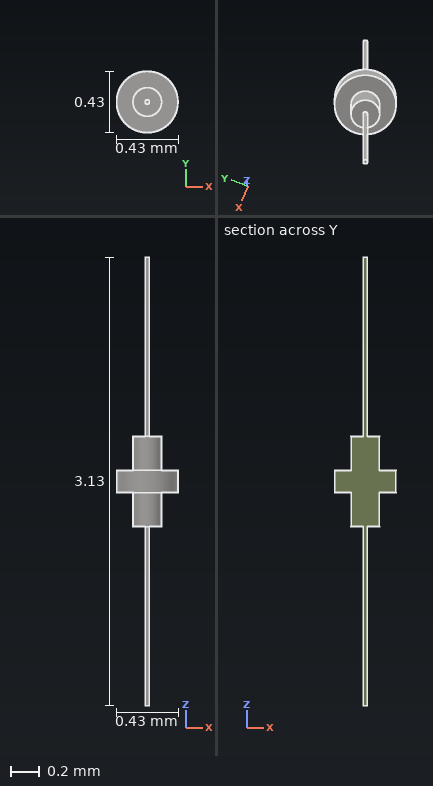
import cadquery as cq

wire_length = 3.13
wire_diameter = 0.031

sleeve_length = 0.63
sleeve_diameter = 0.20

flange_thickness = 0.155
flange_diameter = 0.43


def centred_cylinder(diameter, length):
    """Cylinder on the Z axis, with its mid-height at the origin."""
    return cq.Workplane("XY").cylinder(length, diameter / 2)


wire = centred_cylinder(wire_diameter, wire_length)
sleeve = centred_cylinder(sleeve_diameter, sleeve_length)
flange = centred_cylinder(flange_diameter, flange_thickness)

result = flange.union(sleeve).union(wire)